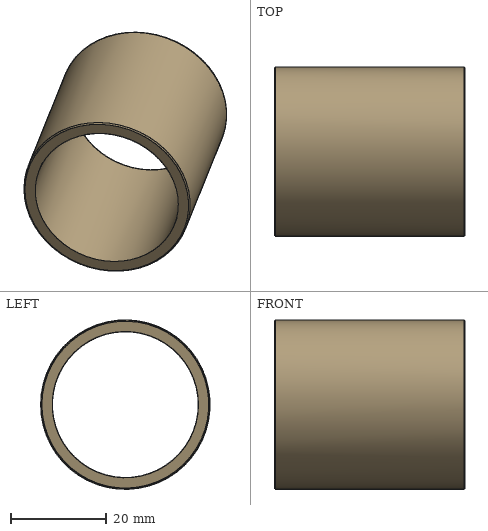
import cadquery as cq

length = 40.0
outer_diameter = 35.5
bore_diameter = 30.55
edge_chamfer = 0.3

bar = cq.Workplane("YZ", origin=(-length / 2, 0, 0)).circle(outer_diameter / 2).extrude(length)
chamfered_bar = bar.faces("<X or >X").edges().chamfer(edge_chamfer)

result = chamfered_bar.faces(">X").workplane(centerOption="CenterOfMass").hole(bore_diameter)